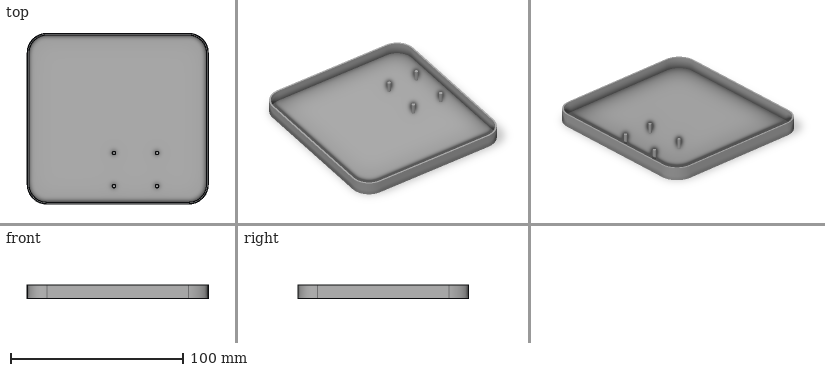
import cadquery as cq

tray_length = 105.1
tray_width = 99.1
tray_height = 8.0
corner_radius = 11.5
wall = 1.0
floor_thickness = 1.0

pin_diameter = 2.0
pin_height = 6.0
pin_spacing_x = 25.0
pin_spacing_y = 19.2
pattern_center_x = 10.3
pattern_center_y = -29.5


def rounded_plate(length, width, height, radius):
    """Plate centred on the Z axis, standing on Z = 0, with rounded upright edges."""
    plate = cq.Workplane("XY").rect(length, width).extrude(height)
    return plate.edges("|Z").fillet(radius)


def make_tray():
    """Open shallow tray with an even wall all round."""
    outside = rounded_plate(tray_length, tray_width, tray_height, corner_radius)
    cavity = rounded_plate(
        tray_length - 2 * wall,
        tray_width - 2 * wall,
        tray_height - floor_thickness,
        corner_radius - wall,
    ).translate((0, 0, floor_thickness))
    return outside.cut(cavity)


def make_pin(x, y):
    """Plain round pin resting on the tray floor."""
    base = cq.Workplane("XY").workplane(offset=floor_thickness)
    return base.center(x, y).circle(pin_diameter / 2).extrude(pin_height)


tray = make_tray()

pins = []
for side_x in (-1, 1):
    for side_y in (-1, 1):
        pin_x = pattern_center_x + side_x * pin_spacing_x / 2
        pin_y = pattern_center_y + side_y * pin_spacing_y / 2
        pins.append(make_pin(pin_x, pin_y).val())

result = cq.Compound.makeCompound([tray.val(), *pins])